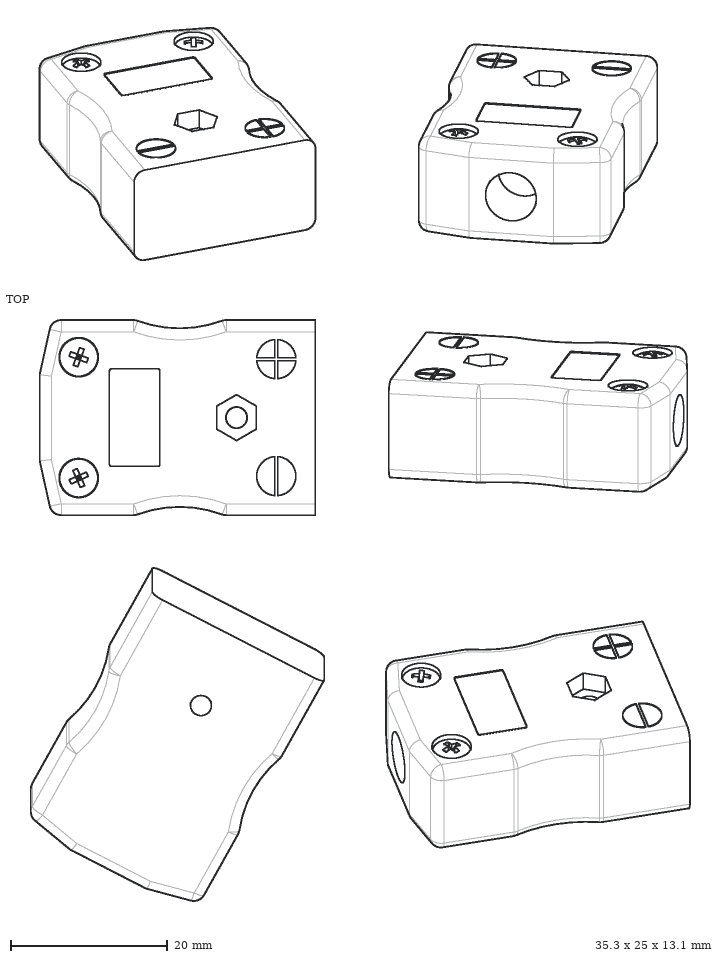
import cadquery as cq
import math

LENGTH = 35.3
WIDTH = 25.0
HEIGHT = 13.05
EDGE_RADIUS = 1.5
CORNER_RADIUS = 1.52
NOSE_FLAT_WIDTH = 11.0
NOSE_SETBACK = 1.55

GRIP_X = 17.95
GRIP_CHORD = 11.3
GRIP_DEPTH = 1.05

LABEL_X = 12.18
LABEL_LENGTH = 6.45
LABEL_WIDTH = 12.5
LABEL_DEPTH = 0.15
LABEL_CORNER_RADIUS = 0.3
NUT_X = 25.2
NUT_ACROSS_FLATS = 5.1
NUT_POCKET_DEPTH = 2.58
BOLT_HOLE_DIAMETER = 2.7
MARK_X = 30.3
MARK_Y = 7.5
MARK_DIAMETER = 5.0
MARK_BAR_WIDTH = 0.35
MARK_DEPTH = 0.1

CABLE_HOLE_DIAMETER = 6.6
CABLE_HOLE_DEPTH = 8.82

SCREW_X = 5.0
SCREW_Y = 7.73
SCREW_DIAMETER = 4.87
SEAT_DIAMETER = 5.0
SCREW_DOME_HEIGHT = 0.7
SCREW_RIM_HEIGHT = 1.05
SCREW_SEAT_DEPTH = SCREW_DOME_HEIGHT + SCREW_RIM_HEIGHT
DRIVE_SPAN = 2.7
DRIVE_ARM_WIDTH = 0.6
DRIVE_DEPTH = 1.4
SCREWS = [(SCREW_Y, -20.0), (-SCREW_Y, 24.0)]

HALF_WIDTH = WIDTH / 2


def make_block():
    """Block with a blunt nose at X = 0, two arc grips and rounded edges; the far end stays square."""
    grip_start = GRIP_X - GRIP_CHORD / 2
    grip_end = GRIP_X + GRIP_CHORD / 2
    grip_bottom = HALF_WIDTH - GRIP_DEPTH
    block = (
        cq.Workplane("XY")
        .moveTo(0, -NOSE_FLAT_WIDTH / 2)
        .lineTo(NOSE_SETBACK, -HALF_WIDTH)
        .lineTo(grip_start, -HALF_WIDTH)
        .threePointArc((GRIP_X, -grip_bottom), (grip_end, -HALF_WIDTH))
        .lineTo(LENGTH, -HALF_WIDTH)
        .lineTo(LENGTH, HALF_WIDTH)
        .lineTo(grip_end, HALF_WIDTH)
        .threePointArc((GRIP_X, grip_bottom), (grip_start, HALF_WIDTH))
        .lineTo(NOSE_SETBACK, HALF_WIDTH)
        .lineTo(0, NOSE_FLAT_WIDTH / 2)
        .close()
        .extrude(HEIGHT)
    )
    block = block.edges("|Z").edges("not (<X or >X)").fillet(CORNER_RADIUS)
    return block.faces("<Z or >Z").edges("not >X").fillet(EDGE_RADIUS)


def top_plane(x, y):
    return cq.Workplane("XY", origin=(x, y, HEIGHT))


def make_label_recess():
    recess = top_plane(LABEL_X, 0).rect(LABEL_LENGTH, LABEL_WIDTH).extrude(-LABEL_DEPTH)
    return recess.edges("|Z").fillet(LABEL_CORNER_RADIUS)


def make_nut_pocket():
    """Hexagonal pocket with two corners along Y, and the bolt hole right through below it."""
    across_corners = NUT_ACROSS_FLATS / math.cos(math.pi / 6)
    pocket = (
        top_plane(NUT_X, 0)
        .transformed(rotate=(0, 0, 90))
        .polygon(6, across_corners)
        .extrude(-NUT_POCKET_DEPTH)
    )
    return pocket.union(top_plane(NUT_X, 0).circle(BOLT_HOLE_DIAMETER / 2).extrude(-HEIGHT))


def make_polarity_mark(y, bar_angles):
    """Shallow round recess crossed by bars that stay level with the housing top."""
    mark = top_plane(MARK_X, y).circle(MARK_DIAMETER / 2).extrude(-MARK_DEPTH)
    for angle in bar_angles:
        bar = top_plane(MARK_X, y).transformed(rotate=(0, 0, angle))
        mark = mark.cut(bar.rect(MARK_BAR_WIDTH, MARK_DIAMETER).extrude(-MARK_DEPTH))
    return mark


def make_cable_hole():
    entry = cq.Workplane("YZ", origin=(0, 0, HEIGHT / 2))
    return entry.circle(CABLE_HOLE_DIAMETER / 2).extrude(CABLE_HOLE_DEPTH)


def make_screw_seat(y):
    return top_plane(SCREW_X, y).circle(SEAT_DIAMETER / 2).extrude(-SCREW_SEAT_DEPTH)


def make_housing():
    housing = make_block()
    housing = housing.cut(make_label_recess())
    housing = housing.cut(make_nut_pocket())
    housing = housing.cut(make_polarity_mark(MARK_Y, [0, 90]))
    housing = housing.cut(make_polarity_mark(-MARK_Y, [0]))
    housing = housing.cut(make_cable_hole())
    for y, _ in SCREWS:
        housing = housing.cut(make_screw_seat(y))
    return housing


def make_screw(y, drive_turn):
    """Domed screw head with a cross recess whose arms slope down to a point on the axis."""
    radius = SCREW_DIAMETER / 2
    dome_radius = (radius**2 + SCREW_DOME_HEIGHT**2) / (2 * SCREW_DOME_HEIGHT)
    dome_angle = math.asin(radius / dome_radius) / 2
    dome_middle = (dome_radius * math.sin(dome_angle), dome_radius * (math.cos(dome_angle) - 1))
    head = (
        cq.Workplane("XZ")
        .lineTo(0, -SCREW_SEAT_DEPTH)
        .lineTo(radius, -SCREW_SEAT_DEPTH)
        .lineTo(radius, -SCREW_DOME_HEIGHT)
        .threePointArc(dome_middle, (0, 0))
        .close()
        .revolve(360, (0, 0), (0, 1))
    )
    for angle in (drive_turn, drive_turn + 90):
        arm = (
            cq.Workplane("XZ")
            .polyline([(-DRIVE_SPAN / 2, 0), (DRIVE_SPAN / 2, 0), (0, -DRIVE_DEPTH)])
            .close()
            .extrude(DRIVE_ARM_WIDTH / 2, both=True)
        )
        head = head.cut(arm.rotate((0, 0, 0), (0, 0, 1), angle))
    return head.translate((SCREW_X, y, HEIGHT))


housing = make_housing()
screws = [make_screw(y, turn) for y, turn in SCREWS]

result = cq.Compound.makeCompound([housing.val(), *[screw.val() for screw in screws]])